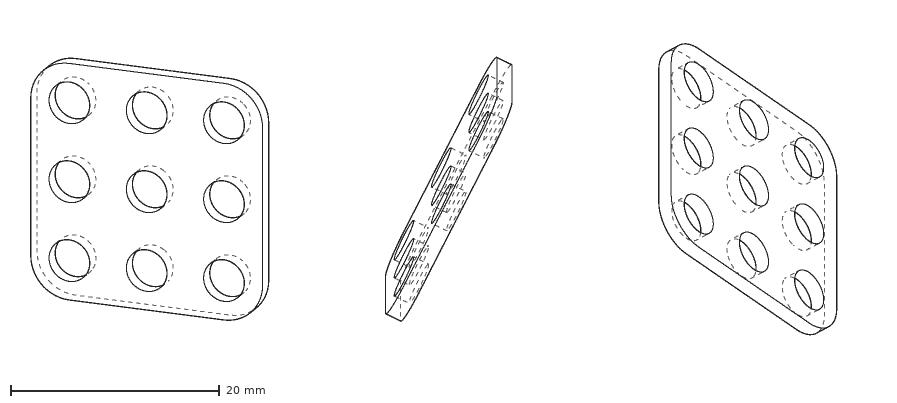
import cadquery as cq

side = 24.0
thickness = 1.6
holes_per_side = 3
hole_diameter = 4.2

pitch = side / holes_per_side
corner_radius = pitch / 2

plate = cq.Workplane("XY").box(side, thickness, side).edges("|Y").fillet(corner_radius)

result = (
    plate.faces("<Y")
    .workplane(centerOption="CenterOfBoundBox")
    .rarray(pitch, pitch, holes_per_side, holes_per_side)
    .hole(hole_diameter)
)